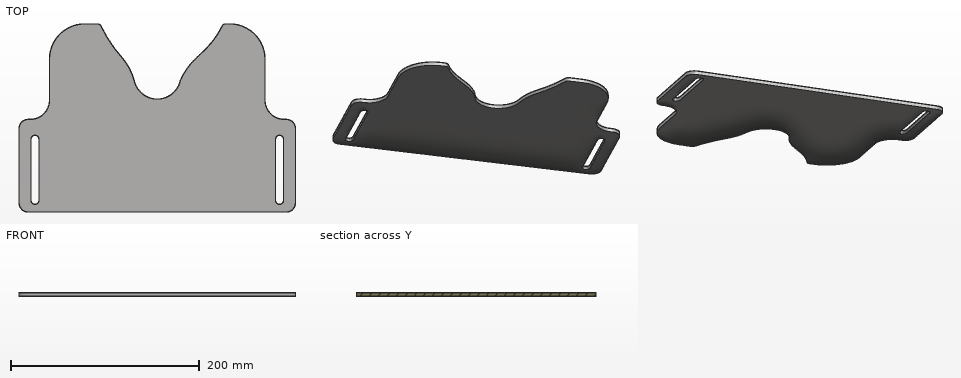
import cadquery as cq
import math

width = 293.5
depth = 200.0
thickness = 4.0
half_width = width / 2
rear_edge = depth / 2
front_edge = -depth / 2

body_half_width = 114.5
shoulder_y = front_edge + 98.5
tab_corner_radius = 10.0
shoulder_fillet_radius = 20.0
body_corner_radius = 37.5

slot_width = 8.2
slot_length = 73.0
slot_x = 129.7
slot_center_y = front_edge + 45.0

throat_radius = 25.0
throat_bottom_y = front_edge + 120.0
throat_half_width = 24.5
throat_center_y = throat_bottom_y + throat_radius
throat_end_y = throat_center_y - math.sqrt(throat_radius**2 - throat_half_width**2)


def from_front(x, distance):
    """Point at x, at a distance behind the front edge."""
    return (x, front_edge + distance)


tip_radius = 4.5
cutter_overrun = 3.0
left_tip = (-60.8, rear_edge)
left_flare_middle = from_front(-49.0, 179.0)
left_bend = from_front(-36.5, 163.0)
left_neck_middle = from_front(-29.3, 152.3)

right_tip = (69.9, rear_edge)
right_flare_middle = from_front(61.3, 185.0)
right_flare_bottom = from_front(52.5, 174.3)
right_bend = from_front(40.2, 162.3)
right_neck_middle = from_front(30.8, 151.5)


def round_corner(solid, x, y, radius):
    """Fillet the upright edge nearest to x, y."""
    corner = cq.selectors.NearestToPointSelector((x, y, thickness / 2))
    return solid.edges("|Z").edges(corner).fillet(radius)


def round_corners(solid, x, y, radius):
    """Fillet a mirrored pair of upright edges."""
    for side in (-1, 1):
        solid = round_corner(solid, side * x, y, radius)
    return solid


def stepped_plate():
    """Plate with two front tabs and rounded corners, before any cutting."""
    outline = [
        (-half_width, front_edge),
        (half_width, front_edge),
        (half_width, shoulder_y),
        (body_half_width, shoulder_y),
        (body_half_width, rear_edge),
        (-body_half_width, rear_edge),
        (-body_half_width, shoulder_y),
        (-half_width, shoulder_y),
    ]
    plate = cq.Workplane("XY").polyline(outline).close().extrude(thickness)

    plate = round_corners(plate, half_width, front_edge, tab_corner_radius)
    plate = round_corners(plate, half_width, shoulder_y, tab_corner_radius)
    plate = round_corners(plate, body_half_width, shoulder_y, shoulder_fillet_radius)
    return round_corners(plate, body_half_width, rear_edge, body_corner_radius)


def neck_cutout():
    """Cutter for the curved opening in the rear edge."""
    return (
        cq.Workplane("XY")
        .moveTo(*left_tip)
        .threePointArc(left_flare_middle, left_bend)
        .threePointArc(left_neck_middle, (-throat_half_width, throat_end_y))
        .threePointArc((0, throat_bottom_y), (throat_half_width, throat_end_y))
        .threePointArc(right_neck_middle, right_bend)
        .lineTo(*right_flare_bottom)
        .threePointArc(right_flare_middle, right_tip)
        .line(0, cutter_overrun)
        .hLineTo(left_tip[0])
        .close()
        .extrude(thickness)
    )


def strap_slots():
    """Cutters for the round-ended slots, one in each tab."""
    return (
        cq.Workplane("XY")
        .pushPoints([(-slot_x, slot_center_y), (slot_x, slot_center_y)])
        .slot2D(slot_length, slot_width, 90)
        .extrude(thickness)
    )


result = stepped_plate().cut(neck_cutout())
for tip in (left_tip, right_tip):
    result = round_corner(result, *tip, tip_radius)
result = result.cut(strap_slots())